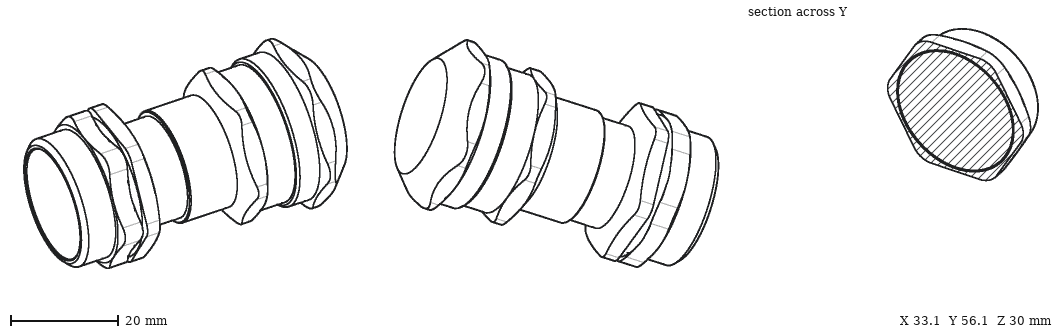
import cadquery as cq
import math

length = 56.05
slope_30 = math.tan(math.radians(30))
slope_20 = math.tan(math.radians(20))
cap_slope = math.tan(math.radians(45))

entry_dia = 25.15
slim_dia = 20.0
sleeve_dia = 22.0
neck_dia = 27.0
collar_dia = 29.0
cap_top_dia = 22.5

locknut_start = 6.65
locknut_rim = 11.2
front_hex_start = 12.05
front_hex_cone_end = 16.55
sleeve_start = 23.15
middle_hex_start = 33.05
middle_hex_end = 38.2
collar_start = 43.9
cap_start = 48.6

hex_flats = 27.0
hex_corner_radius = 3.0
locknut_corner_radius = 4.4
cap_flats = 30.0
cap_corner_radius = 5.0

entry_chamfer = 1.0
collar_chamfer = 0.5
sleeve_chamfer = 0.2
ring_dia = 27.6
ring_section_radius = 1.0
recess_mouth_dia = 22.0
recess_depth = 0.2

blank_margin = 0.05


def revolve_profile(points):
    """Revolve (radius, y) points about the Y axis."""
    return cq.Workplane("XY").polyline(points).close().revolve(360, (0, 0, 0), (0, 1, 0))


def cylinder(diameter, start, end):
    radius = diameter / 2
    return revolve_profile([(0, start), (radius, start), (radius, end), (0, end)])


def hex_prism(flats, corner_radius, start, end):
    """Hexagonal bar with rounded corners, two of them on the X axis."""
    across_corners = flats / math.cos(math.radians(30))
    bar = cq.Workplane("XZ", origin=(0, end, 0)).polygon(6, across_corners).extrude(end - start)
    return bar.edges("|Y").fillet(corner_radius)


def corner_reach(flats, corner_radius):
    """Distance from the axis to the tip of a rounded hexagon corner."""
    cos_30 = math.cos(math.radians(30))
    return flats / 2 / cos_30 - corner_radius * (1 / cos_30 - 1)


def double_cone(start_dia, start, end_dia, end, end_slope, reach):
    """Blank that turns the corners of a hexagon down to a cone at each end."""
    start_radius = start_dia / 2
    end_radius = end_dia / 2
    return revolve_profile([
        (0, start),
        (start_radius, start),
        (reach, start + (reach - start_radius) * slope_30),
        (reach, end - (reach - end_radius) * end_slope),
        (end_radius, end),
        (0, end),
    ])


def make_cap():
    reach = corner_reach(cap_flats, cap_corner_radius) + blank_margin
    blank = double_cone(collar_dia, cap_start, cap_top_dia, length, cap_slope, reach)
    return hex_prism(cap_flats, cap_corner_radius, cap_start, length).intersect(blank)


def make_middle_hex():
    reach = corner_reach(hex_flats, hex_corner_radius) + blank_margin
    blank = double_cone(sleeve_dia, middle_hex_start,
                        neck_dia, middle_hex_end, slope_30, reach)
    return hex_prism(hex_flats, hex_corner_radius, middle_hex_start, middle_hex_end).intersect(blank)


def make_front_hex():
    reach = corner_reach(hex_flats, hex_corner_radius) + blank_margin
    end_radius = slim_dia / 2
    blank = revolve_profile([
        (0, front_hex_start),
        (reach, front_hex_start),
        (reach, front_hex_cone_end - (reach - end_radius) * slope_20),
        (end_radius, front_hex_cone_end),
        (0, front_hex_cone_end),
    ])
    return hex_prism(hex_flats, hex_corner_radius, front_hex_start, front_hex_cone_end).intersect(blank)


def make_locknut():
    """Hexagon coned at its start and dished at its end, where it grips the ring."""
    reach = corner_reach(hex_flats, locknut_corner_radius)
    start_radius = hex_flats / 2
    blank = revolve_profile([
        (0, locknut_start),
        (start_radius, locknut_start),
        (reach, locknut_start + (reach - start_radius) * slope_30),
        (reach, locknut_rim),
        (0, locknut_rim - reach * slope_30),
    ])
    return hex_prism(hex_flats, locknut_corner_radius, locknut_start, locknut_rim).intersect(blank)


def make_ring():
    """Sealing ring of round section, tight against the front hexagon."""
    bulge_radius = ring_dia / 2
    crown_radius = bulge_radius - ring_section_radius
    middle = front_hex_start - ring_section_radius
    section = (
        cq.Workplane("XY")
        .moveTo(0, front_hex_start)
        .lineTo(crown_radius, front_hex_start)
        .threePointArc((bulge_radius, middle), (crown_radius, middle - ring_section_radius))
        .lineTo(0, middle - ring_section_radius)
        .close()
    )
    return section.revolve(360, (0, 0, 0), (0, 1, 0))


def make_core():
    entry = cylinder(entry_dia, 0, front_hex_start).faces("<Y").chamfer(entry_chamfer)
    slim = cylinder(slim_dia, front_hex_start, sleeve_start)
    sleeve = cylinder(sleeve_dia, sleeve_start, middle_hex_start).faces("<Y").chamfer(sleeve_chamfer)
    neck = cylinder(neck_dia, middle_hex_end, collar_start)
    collar = cylinder(collar_dia, collar_start, cap_start).faces("<Y").chamfer(collar_chamfer)
    return [entry, slim, sleeve, neck, collar]


def make_recess():
    mouth_radius = recess_mouth_dia / 2
    return revolve_profile([
        (0, 0),
        (mouth_radius, 0),
        (mouth_radius - recess_depth, recess_depth),
        (0, recess_depth),
    ])


solid = make_cap()
for piece in make_core() + [make_middle_hex(), make_front_hex(), make_ring(), make_locknut()]:
    solid = solid.union(piece)

result = solid.cut(make_recess())